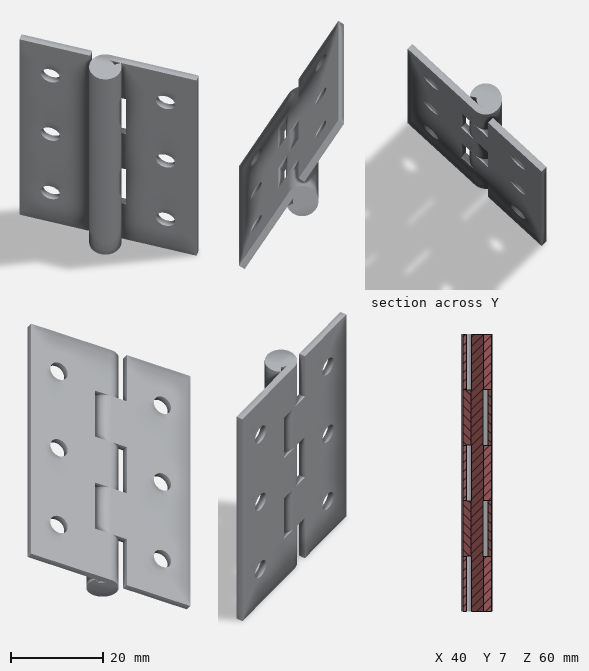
import cadquery as cq
import math

HEIGHT = 60.0
WIDTH = 40.0
BARREL_DIAMETER = 7.0
SHEET_THICKNESS = 1.5
KNUCKLE_COUNT = 5
NOTCH_EDGE_X = 4.0
CURL_END_ANGLE = 34.0

HOLE_DIAMETER = 4.3
HOLE_EDGE_DISTANCE = 7.0
HOLE_COUNT = 3

HALF_WIDTH = WIDTH / 2
BARREL_RADIUS = BARREL_DIAMETER / 2
PIN_RADIUS = BARREL_RADIUS - SHEET_THICKNESS
KNUCKLE_LENGTH = HEIGHT / KNUCKLE_COUNT
HOLE_PITCH = HEIGHT / HOLE_COUNT
HOLE_X = HALF_WIDTH - HOLE_EDGE_DISTANCE
BOTTOM = -HEIGHT / 2


def polar_point(radius, angle):
    """Point on a circle about the pin axis, with the angle in degrees."""
    return (radius * math.cos(math.radians(angle)), radius * math.sin(math.radians(angle)))


def make_plate():
    """Flat part of a leaf on the +X side, tangent to the barrel."""
    return (
        cq.Workplane("XY", origin=(0, 0, BOTTOM))
        .moveTo(NOTCH_EDGE_X, PIN_RADIUS)
        .lineTo(HALF_WIDTH, PIN_RADIUS)
        .lineTo(HALF_WIDTH, BARREL_RADIUS)
        .lineTo(NOTCH_EDGE_X, BARREL_RADIUS)
        .close()
        .extrude(HEIGHT)
    )


def make_knuckle(index):
    """Sheet tab rolled around the pin; index counts knuckles from the bottom."""
    middle_angle = (90 + CURL_END_ANGLE + 360) / 2
    outer_end = polar_point(BARREL_RADIUS, CURL_END_ANGLE)
    inner_end = polar_point(PIN_RADIUS, CURL_END_ANGLE)
    return (
        cq.Workplane("XY", origin=(0, 0, BOTTOM + index * KNUCKLE_LENGTH))
        .moveTo(NOTCH_EDGE_X, BARREL_RADIUS)
        .lineTo(0, BARREL_RADIUS)
        .threePointArc(polar_point(BARREL_RADIUS, middle_angle), outer_end)
        .lineTo(*inner_end)
        .threePointArc(polar_point(PIN_RADIUS, middle_angle), (0, PIN_RADIUS))
        .lineTo(NOTCH_EDGE_X, PIN_RADIUS)
        .close()
        .extrude(KNUCKLE_LENGTH)
    )


def make_screw_holes():
    """Cutters for the column of screw holes, running through the sheet along Y."""
    first_z = BOTTOM + HOLE_PITCH / 2
    centres = [(HOLE_X, first_z + row * HOLE_PITCH) for row in range(HOLE_COUNT)]
    return (
        cq.Workplane("XZ", origin=(0, BARREL_RADIUS, 0))
        .pushPoints(centres)
        .circle(HOLE_DIAMETER / 2)
        .extrude(SHEET_THICKNESS)
    )


def make_leaf(first_knuckle):
    """Leaf on the +X side, carrying every second knuckle from first_knuckle up."""
    leaf = make_plate()
    for index in range(first_knuckle, KNUCKLE_COUNT, 2):
        leaf = leaf.union(make_knuckle(index))
    return leaf.cut(make_screw_holes())


def make_pin():
    """Plain pin, flush with both ends of the barrel."""
    return cq.Workplane("XY", origin=(0, 0, BOTTOM)).circle(PIN_RADIUS).extrude(HEIGHT)


right_leaf = make_leaf(first_knuckle=0)
left_leaf = make_leaf(first_knuckle=1).mirror("YZ")
pin = make_pin()

result = cq.Compound.makeCompound([right_leaf.val(), left_leaf.val(), pin.val()])